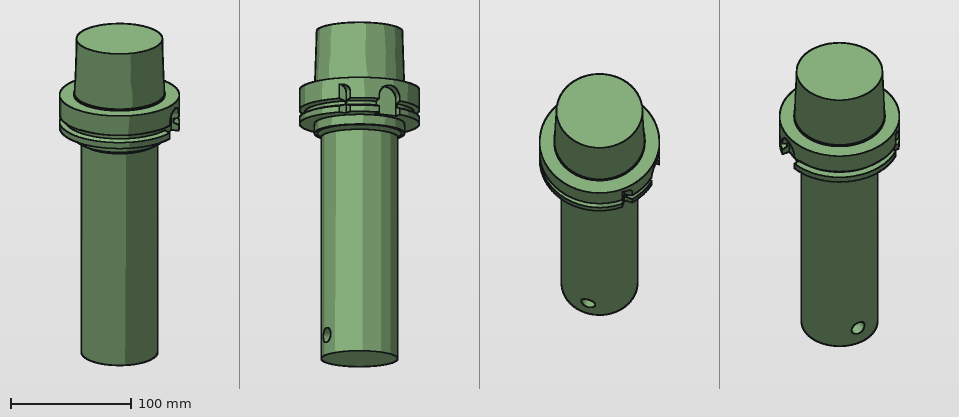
import cadquery as cq

total_length = 279.0
taper_length = 50.0
body_bottom = taper_length - total_length

taper_top_diameter = 71.7
taper_base_diameter = 75.0
seat_diameter = 76.0
flange_diameter = 100.0
groove_diameter = 91.0
collar_diameter = 75.0
collar_cone_diameter = 70.3
body_diameter = 64.0

seat_height = 1.5
flange_bottom = -29.0
groove_top = -17.3
groove_height = 6.5
groove_flank_height = 1.7
groove_bottom = groove_top - groove_height
collar_bottom = -37.0
collar_cone_height = 3.3

drive_slot_width = 20.0
drive_slot_floor = 42.5
drive_slot_top = -5.3

notch_width = 12.3
notch_floor = 31.8
notch_top = -5.3

screw_hole_diameter = 12.3
screw_hole_depth = 14.0
screw_hole_height = 16.7


def make_turned_body():
    """Taper, flange with gripper groove, collar and cylindrical body."""
    outline = [
        (0, taper_length),
        (taper_top_diameter / 2, taper_length),
        (taper_base_diameter / 2, seat_height),
        (seat_diameter / 2, seat_height),
        (seat_diameter / 2, 0),
        (flange_diameter / 2, 0),
        (flange_diameter / 2, groove_top),
        (groove_diameter / 2, groove_top - groove_flank_height),
        (groove_diameter / 2, groove_bottom + groove_flank_height),
        (flange_diameter / 2, groove_bottom),
        (flange_diameter / 2, flange_bottom),
        (collar_diameter / 2, flange_bottom),
        (collar_diameter / 2, collar_bottom),
        (collar_cone_diameter / 2, collar_bottom),
        (body_diameter / 2, collar_bottom - collar_cone_height),
        (body_diameter / 2, body_bottom),
        (0, body_bottom),
    ]
    return cq.Workplane("XZ").polyline(outline).close().revolve(360, (0, 0), (0, 1))


def make_slot_cutter(width, top, floor, center_y):
    """Round-topped slot, open at the flange bottom, reaching outward along +X."""
    radius = width / 2
    return (
        cq.Workplane("YZ", origin=(floor, center_y, 0))
        .moveTo(-radius, flange_bottom)
        .lineTo(-radius, top - radius)
        .threePointArc((0, top), (radius, top - radius))
        .lineTo(radius, flange_bottom)
        .close()
        .extrude(flange_diameter / 2)
    )


def make_screw_hole():
    """Blind radial hole entering from the +Y side."""
    hole_bottom = body_diameter / 2 - screw_hole_depth
    hole_center = (0, hole_bottom, body_bottom + screw_hole_height)
    return (
        cq.Workplane("XZ", origin=hole_center)
        .circle(screw_hole_diameter / 2)
        .extrude(-body_diameter / 2)
    )


result = make_turned_body()

drive_slot = make_slot_cutter(drive_slot_width, drive_slot_top, drive_slot_floor, 0)
for angle in (0, 180):
    result = result.cut(drive_slot.rotate((0, 0, 0), (0, 0, 1), angle))

notch_center_y = notch_floor + notch_width / 2
notch = make_slot_cutter(notch_width, notch_top, notch_floor, notch_center_y)
result = result.cut(notch.mirror("YZ"))

result = result.cut(make_screw_hole())